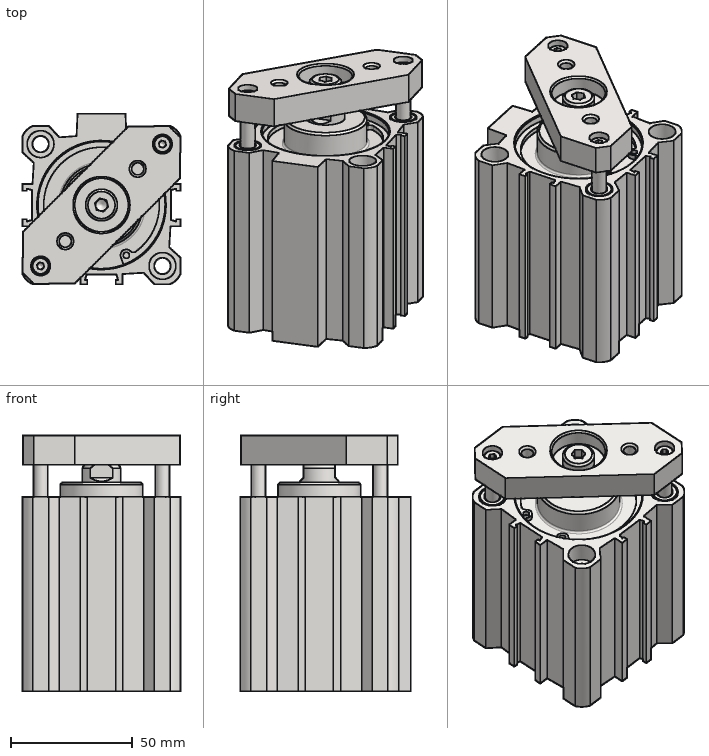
import cadquery as cq
import math

housing_height = 79.8
plate_gap = 13.1
plate_thickness = 12.1
plate_bottom = housing_height + plate_gap
plate_top = plate_bottom + plate_thickness

overall_width = 65.0
overall_depth = 70.0
housing_half = overall_width / 2
corner_flat_outer = 28.1
corner_flat_inner = 21.6
ear_foot_half = 17.3
ear_foot_distance = 27.8
wall_distance = 28.4
rail_half = 8.7
slot_mouth_half = 5.8
slot_lip_distance = 30.7
slot_half = 6.7
slot_floor_half = 6.1
slot_floor_distance = 28.6
block_root_half = 10.3
block_tip_half = 9.9
block_distance = overall_depth - housing_half

corner_offset = 25.0
mount_hole_diameter = 6.6
mount_bore_diameter = 11.0
mount_bore_depth = 8.4
guide_diameter = 6.0
guide_chamfer = 0.4
bush_diameter = 11.0
bush_chamfer = 0.5

recess_diameter = 52.2
recess_depth = 5.1
recess_chamfer = 0.4
collar_diameter = 34.0
collar_height = 6.0
collar_chamfer = 0.9
collar_fillet = 0.8

ring_inner_diameter = 47.5
ring_thickness = 2.0
lug_radius = 2.4
lug_circle_radius = 23.0
lug_angle = 26.3
lug_hole_diameter = 2.5
lug_fillet = 1.6

rod_diameter = 16.0
rod_flats = 13.0
rod_flat_height = 5.2
rod_chamfer_width = 0.8
rod_chamfer_height = 1.5
rod_bottom = housing_height - recess_depth

plate_half = 32.2
plate_band_width = 30.0
plate_corner_chamfer = 4.4
tapped_hole_radius = 21.0
tapped_hole_diameter = 4.9
tapped_hole_chamfer = 0.9

head_sink = 2.1
bolt_head_diameter = 13.0
bolt_head_height = 4.9
bolt_head_chamfer = 0.9
bolt_shank_diameter = 6.8
bolt_socket_flats = 4.9
bolt_socket_depth = 4.2
bolt_recess_diameter = 21.9
bolt_recess_chamfer = 0.7
bolt_length = 14.7
screw_head_diameter = 7.0
screw_head_height = 4.0
screw_head_chamfer = 0.3
screw_shank_diameter = 4.0
screw_socket_flats = 2.7
screw_socket_depth = 2.5
screw_recess_diameter = 8.0
screw_length = 14.7
socket_turn = 45.0
socket_tip_angle = 120.0

guide_points = [(-corner_offset, -corner_offset), (corner_offset, corner_offset)]
mount_points = [(-corner_offset, corner_offset), (corner_offset, -corner_offset)]


def cylinder(diameter, bottom, top, center=(0, 0)):
    """Upright cylinder between two heights."""
    return cq.Workplane("XY", origin=(*center, bottom)).circle(diameter / 2).extrude(top - bottom)


def cone(bottom_diameter, top_diameter, bottom, top, center=(0, 0)):
    """Upright cone or frustum between two heights."""
    frustum = cq.Solid.makeCone(
        bottom_diameter / 2, top_diameter / 2, top - bottom, cq.Vector(*center, bottom)
    )
    return cq.Workplane(obj=frustum)


def mirrored_side(half):
    """Completes a side from its first half, which ends beside the middle line."""
    return half + [(-along, out) for along, out in reversed(half)]


def turned(point, quarter_turns):
    """Places a point given as (along the side, outward) on the -Y side, then turns it about Z."""
    along, out = point
    angle = math.radians(90 * quarter_turns)
    x = along * math.cos(angle) + out * math.sin(angle)
    y = along * math.sin(angle) - out * math.cos(angle)
    return x, y


def housing_outline():
    """Closed outline: three sides with T-slots, a block on +Y, and rounded corners."""
    ear = [
        (-corner_flat_outer, housing_half),
        (-corner_flat_inner, housing_half),
        (-ear_foot_half, ear_foot_distance),
    ]
    slot_side = mirrored_side(ear + [
        (-rail_half, wall_distance),
        (-rail_half, housing_half),
        (-slot_mouth_half, housing_half),
        (-slot_mouth_half, slot_lip_distance),
        (-slot_half, slot_lip_distance),
        (-slot_floor_half, slot_floor_distance),
    ])
    block_side = mirrored_side(ear + [
        (-block_root_half, wall_distance),
        (-block_tip_half, block_distance),
    ])
    corner_radius = math.hypot(housing_half - corner_offset, corner_flat_outer - corner_offset)
    corner_middle = corner_offset + corner_radius / math.sqrt(2)

    sides = [slot_side, slot_side, block_side, slot_side]
    outline = cq.Workplane("XY").moveTo(*turned(slot_side[0], 0))
    for turn, side in enumerate(sides):
        for point in side[1:]:
            outline = outline.lineTo(*turned(point, turn))
        next_side = sides[(turn + 1) % len(sides)]
        outline = outline.threePointArc(
            turned((corner_middle, corner_middle), turn), turned(next_side[0], turn + 1)
        )
    return outline.close()


def bush_groove(center):
    """V-groove in the top face: straight outer wall, sloping inner wall."""
    bottom = housing_height - bush_chamfer
    inner_top = bush_diameter - 2 * bush_chamfer
    ring = cylinder(bush_diameter, bottom, housing_height, center)
    return ring.cut(cone(bush_diameter, inner_top, bottom, housing_height, center))


def make_collar(floor):
    """Collar standing on the recess floor, chamfered at its top and filleted at its foot."""
    radius = collar_diameter / 2
    top = housing_height + collar_height
    return (
        cq.Workplane("XZ")
        .moveTo(0, floor)
        .lineTo(radius + collar_fillet, floor)
        .radiusArc((radius, floor + collar_fillet), collar_fillet)
        .lineTo(radius, top - collar_chamfer)
        .lineTo(radius - collar_chamfer, top)
        .lineTo(0, top)
        .close()
        .revolve(360, (0, 0), (0, 1))
    )


def make_housing():
    body = housing_outline().extrude(housing_height)

    floor = housing_height - recess_depth
    body = body.cut(cylinder(recess_diameter, floor, housing_height))
    body = body.cut(cone(
        recess_diameter, recess_diameter + 2 * recess_chamfer,
        housing_height - recess_chamfer, housing_height,
    ))

    body = body.union(make_collar(floor))
    collar_top = housing_height + collar_height
    body = body.cut(cylinder(rod_diameter, rod_bottom, collar_top))

    for center in mount_points:
        body = body.cut(cylinder(mount_hole_diameter, 0, housing_height, center))
        bore_bottom = housing_height - mount_bore_depth
        body = body.cut(cylinder(mount_bore_diameter, bore_bottom, housing_height, center))

    for center in guide_points:
        body = body.cut(cylinder(guide_diameter, 0, housing_height, center))
        body = body.cut(cone(
            guide_diameter, guide_diameter + 2 * guide_chamfer,
            housing_height - guide_chamfer, housing_height, center,
        ))
        body = body.cut(bush_groove(center))
    return body


def make_ring():
    """Ring resting on the recess floor, open toward -Y, with a pierced lug at each end."""
    bottom = housing_height - recess_depth
    top = bottom + ring_thickness
    half_gap = math.radians(lug_angle) - math.asin(lug_radius / lug_circle_radius)
    wedge_reach = recess_diameter
    wedge_half = wedge_reach * math.tan(half_gap)

    ring = cylinder(recess_diameter, bottom, top).cut(cylinder(ring_inner_diameter, bottom, top))
    gap = (
        cq.Workplane("XY", origin=(0, 0, bottom))
        .polyline([(0, 0), (-wedge_half, -wedge_reach), (wedge_half, -wedge_reach)])
        .close()
        .extrude(ring_thickness)
    )
    ring = ring.cut(gap)

    lug_x = lug_circle_radius * math.sin(math.radians(lug_angle))
    lug_y = -lug_circle_radius * math.cos(math.radians(lug_angle))
    lug_centers = [(-lug_x, lug_y), (lug_x, lug_y)]
    for center in lug_centers:
        ring = ring.union(cylinder(2 * lug_radius, bottom, top, center))

    inner_radius = ring_inner_diameter / 2
    lug_span = math.acos(
        (inner_radius**2 + lug_circle_radius**2 - lug_radius**2)
        / (2 * inner_radius * lug_circle_radius)
    )
    root_angle = math.radians(lug_angle) + lug_span
    root_x = inner_radius * math.sin(root_angle)
    root_y = -inner_radius * math.cos(root_angle)
    for x in (-root_x, root_x):
        root = cq.selectors.NearestToPointSelector((x, root_y, bottom + ring_thickness / 2))
        ring = ring.edges("|Z").edges(root).fillet(lug_fillet)

    for center in lug_centers:
        ring = ring.cut(cylinder(lug_hole_diameter, bottom, top, center))
    return ring


def make_screw(center, head, shank, socket, length):
    """Cap screw whose head top lies below the plate top; its socket ends in a cone."""
    head_diameter, head_height, head_chamfer = head
    socket_flats, socket_depth = socket
    head_top = plate_top - head_sink
    head_bottom = head_top - head_height

    screw = cylinder(head_diameter, head_bottom, head_top, center).faces(">Z").chamfer(head_chamfer)
    screw = screw.union(cylinder(shank, head_bottom - length, head_bottom, center))

    socket_bottom = head_top - socket_depth
    socket_corners = socket_flats / math.cos(math.pi / 6)
    hexagon = (
        cq.Workplane("XY")
        .polygon(6, socket_corners)
        .extrude(socket_depth)
        .rotate((0, 0, 0), (0, 0, 1), socket_turn)
        .translate((*center, socket_bottom))
    )
    tip_depth = socket_flats / 2 / math.tan(math.radians(socket_tip_angle / 2))
    tip = cone(0, socket_flats, socket_bottom - tip_depth, socket_bottom, center)
    return screw.cut(hexagon).cut(tip)


def make_bolt():
    return make_screw(
        (0, 0),
        (bolt_head_diameter, bolt_head_height, bolt_head_chamfer),
        bolt_shank_diameter,
        (bolt_socket_flats, bolt_socket_depth),
        bolt_length,
    )


def make_guide_screw(center):
    return make_screw(
        center,
        (screw_head_diameter, screw_head_height, screw_head_chamfer),
        screw_shank_diameter,
        (screw_socket_flats, screw_socket_depth),
        screw_length,
    )


def make_rod(bolt):
    """Round rod with two spanner flats facing -Y and +Y that run out in 45 degree slopes."""
    rod = cylinder(rod_diameter, rod_bottom, plate_bottom)
    rod = rod.faces(">Z").chamfer(rod_chamfer_height, rod_chamfer_width)

    flat_bottom = plate_bottom - rod_flat_height
    flat_distance = rod_flats / 2
    run_out = rod_diameter - flat_distance
    flat = (
        cq.Workplane("YZ")
        .polyline([
            (flat_distance, plate_bottom),
            (flat_distance, flat_bottom),
            (flat_distance + run_out, flat_bottom - run_out),
            (flat_distance + run_out, plate_bottom),
        ])
        .close()
        .extrude(rod_diameter, both=True)
    )
    return rod.cut(flat).cut(flat.mirror("XZ")).cut(bolt)


def make_guide_rod(center, screw):
    return cylinder(guide_diameter, 0, plate_bottom, center).cut(screw)


def make_plate():
    """Square plate cut down to a diagonal band with chamfered ends."""
    band_reach = plate_band_width / math.sqrt(2)
    edge_end = plate_half - band_reach
    chamfer_end = plate_half - plate_corner_chamfer
    half_outline = [
        (-edge_end, -plate_half),
        (plate_half, edge_end),
        (plate_half, chamfer_end),
        (chamfer_end, plate_half),
    ]
    outline = half_outline + [(-x, -y) for x, y in half_outline]
    plate = (
        cq.Workplane("XY", origin=(0, 0, plate_bottom))
        .polyline(outline)
        .close()
        .extrude(plate_thickness)
    )

    bolt_seat = plate_top - head_sink - bolt_head_height
    plate = plate.cut(cylinder(bolt_recess_diameter, bolt_seat, plate_top))
    plate = plate.cut(cone(
        bolt_recess_diameter, bolt_recess_diameter + 2 * bolt_recess_chamfer,
        plate_top - bolt_recess_chamfer, plate_top,
    ))
    plate = plate.cut(cylinder(bolt_shank_diameter, plate_bottom, plate_top))

    screw_seat = plate_top - head_sink - screw_head_height
    for center in guide_points:
        plate = plate.cut(cylinder(screw_recess_diameter, screw_seat, plate_top, center))
        plate = plate.cut(cylinder(screw_shank_diameter, plate_bottom, plate_top, center))

    tapped_offset = tapped_hole_radius / math.sqrt(2)
    for center in [(-tapped_offset, -tapped_offset), (tapped_offset, tapped_offset)]:
        plate = plate.cut(cylinder(tapped_hole_diameter, plate_bottom, plate_top, center))
        plate = plate.cut(cone(
            tapped_hole_diameter, tapped_hole_diameter + 2 * tapped_hole_chamfer,
            plate_top - tapped_hole_chamfer, plate_top, center,
        ))
    return plate


housing = make_housing()
ring = make_ring()
bolt = make_bolt()
rod = make_rod(bolt)
plate = make_plate()
guide_screws = [make_guide_screw(center) for center in guide_points]
guide_rods = [make_guide_rod(center, screw) for center, screw in zip(guide_points, guide_screws)]

result = cq.Compound.makeCompound([
    housing.val(),
    ring.val(),
    bolt.val(),
    rod.val(),
    plate.val(),
    *[screw.val() for screw in guide_screws],
    *[guide_rod.val() for guide_rod in guide_rods],
])